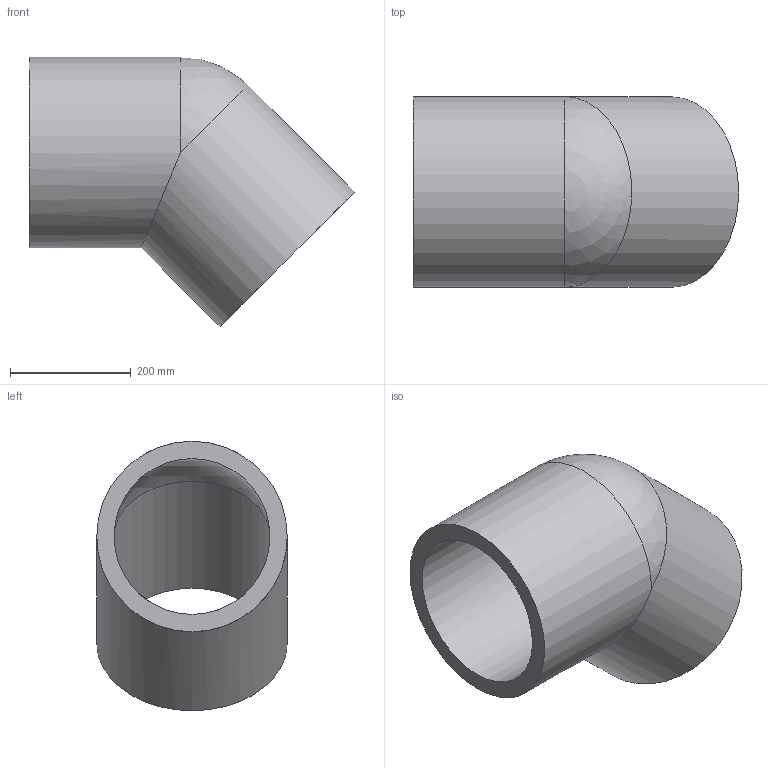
import cadquery as cq
import math

outer_diameter = 315.0
bore_diameter = 257.8
leg_length = 250.0
bend_angle = 45.0

bend_centre = cq.Vector(0, 0, 0)
inlet_direction = cq.Vector(-1, 0, 0)
outlet_direction = cq.Vector(
    math.cos(math.radians(bend_angle)),
    0,
    -math.sin(math.radians(bend_angle)),
)


def leg(radius, direction):
    """Solid cylinder from the bend centre to one open end."""
    return cq.Workplane(cq.Solid.makeCylinder(radius, leg_length, bend_centre, direction))


def elbow_body(diameter):
    """Two solid legs mitred together, with a ball rounding the outside of the bend."""
    radius = diameter / 2
    ball = cq.Workplane("XY").sphere(radius)
    legs = leg(radius, inlet_direction).union(leg(radius, outlet_direction))
    return legs.union(ball)


result = elbow_body(outer_diameter).cut(elbow_body(bore_diameter))